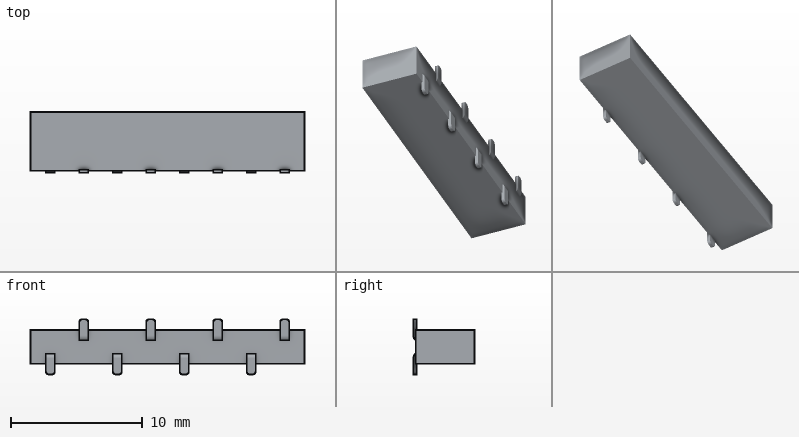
import cadquery as cq
import math

body_length = 20.82
body_depth = 4.48
body_height = 2.58

terminal_count = 8
terminal_pitch = 2.55
terminal_width = 0.7
terminal_thickness = 0.25
terminal_projection = 0.17
terminal_span = 4.2
terminal_length = 1.58
tip_radius = 0.25
bend_radius = 0.42

front_y = -body_depth / 2
outer_y = front_y - terminal_projection
inner_y = outer_y + terminal_thickness
tip_z = terminal_span / 2
root_z = tip_z - terminal_length

bend_angle = math.acos(1 - terminal_projection / bend_radius)
bend_start_z = root_z + bend_radius * math.sin(bend_angle)
bend_middle_y = outer_y + bend_radius * (1 - math.cos(bend_angle / 2))
bend_middle_z = bend_start_z - bend_radius * math.sin(bend_angle / 2)


def make_upper_terminal():
    """Upward tab at X = 0, rounded at the tip and bent into the body at its root."""
    side_profile = (
        cq.Workplane("YZ")
        .moveTo(inner_y, tip_z)
        .lineTo(outer_y, tip_z)
        .lineTo(outer_y, bend_start_z)
        .threePointArc((bend_middle_y, bend_middle_z), (front_y, root_z))
        .lineTo(inner_y, root_z)
        .close()
    )
    tab = side_profile.extrude(terminal_width / 2, both=True)
    return tab.edges("|Y and >Z").fillet(tip_radius)


body = cq.Workplane("XY").box(body_length, body_depth, body_height)

upper_terminal = make_upper_terminal()
lower_terminal = upper_terminal.mirror("XY")
first_terminal_x = -(terminal_count - 1) * terminal_pitch / 2

result = body
for index in range(terminal_count):
    terminal = lower_terminal if index % 2 == 0 else upper_terminal
    terminal_x = first_terminal_x + index * terminal_pitch
    result = result.union(terminal.translate((terminal_x, 0, 0)))